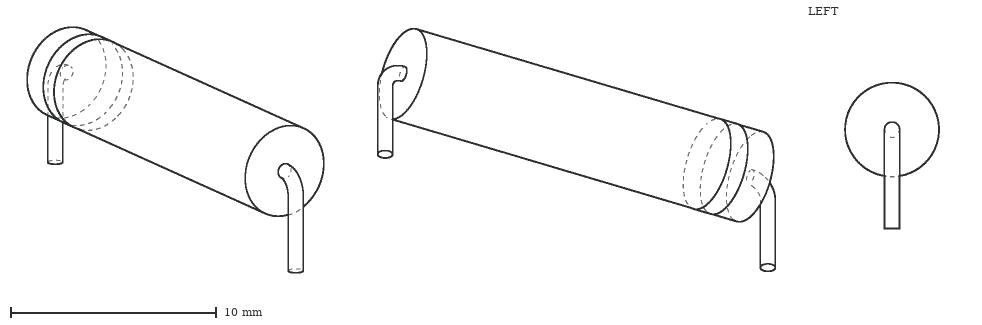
import cadquery as cq

overall_length = 22.33
overall_height = 7.1
body_length = 19.58
body_diameter = 4.55
band_diameter = 4.58
band_width = 0.95
band_offset = 1.47
lead_diameter = 0.74

body_end = body_length / 2
band_start = -body_end + band_offset
lead_x = (overall_length - lead_diameter) / 2
bend_radius = lead_x - body_end
lead_bottom = band_diameter / 2 - overall_height


def axial_cylinder(start, length, diameter):
    """Cylinder on the body axis, running toward +X from start."""
    return cq.Workplane("YZ", origin=(start, 0, 0)).circle(diameter / 2).extrude(length)


def make_body():
    """Plain cylindrical body."""
    return axial_cylinder(-body_end, body_length, body_diameter)


def make_band():
    """Thin marking ring fitted around the body."""
    bore = axial_cylinder(band_start, band_width, body_diameter)
    return axial_cylinder(band_start, band_width, band_diameter).cut(bore)


def make_lead(side):
    """Round wire from the foot up to a quarter bend meeting an end face; side is -1 or 1."""
    leg = (
        cq.Workplane("XY", origin=(side * lead_x, 0, lead_bottom))
        .circle(lead_diameter / 2)
        .extrude(-bend_radius - lead_bottom)
    )
    bend = (
        cq.Workplane("XY", origin=(side * lead_x, 0, -bend_radius))
        .circle(lead_diameter / 2)
        .revolve(90, (-side * bend_radius, 0), (-side * bend_radius, -side))
    )
    return leg.union(bend)


body = make_body()
band = make_band()
leads = [make_lead(side) for side in (-1, 1)]

result = cq.Compound.makeCompound([body.val(), band.val(), *[lead.val() for lead in leads]])